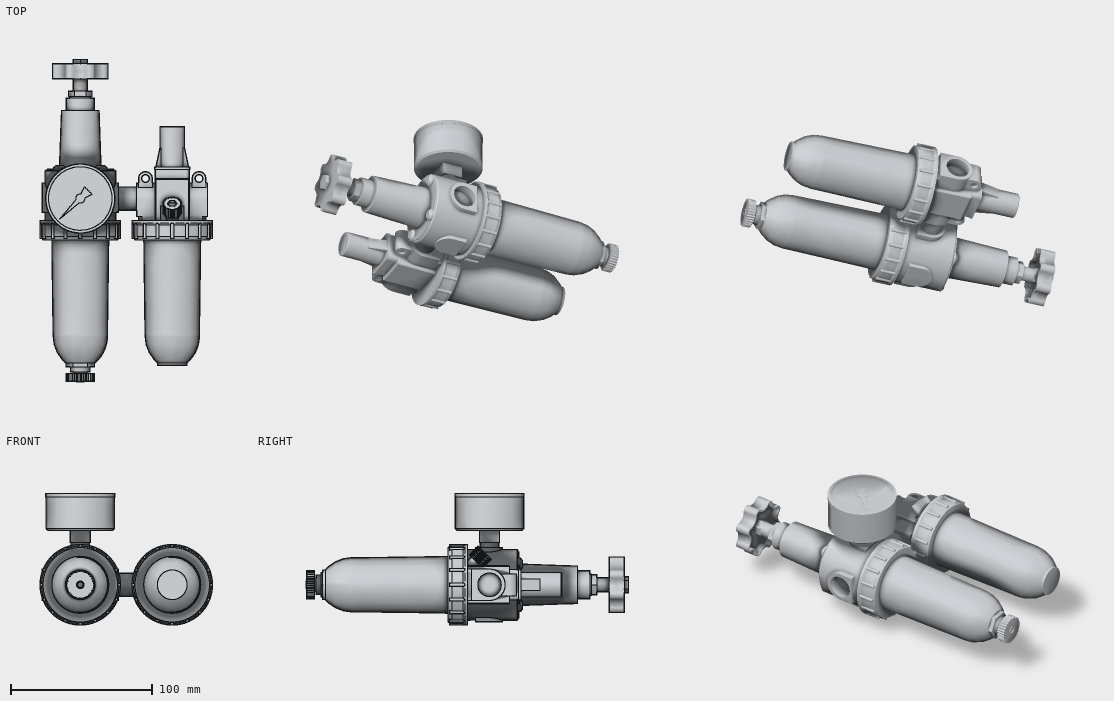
import cadquery as cq
import math

UNIT_SPACING = 65.0
PORT_BORE = 16.7
PORT_DEPTH = 8.0
PAD_WIDTH = 22.1

RING_TOP = -15.5
RING_BOTTOM = -29.5
RING_DIAMETER = 57.0
RING_CORE_DIAMETER = 54.8
RING_END_DIAMETER = 52.7
RING_LIP = 1.8
RING_TAPER_TOP = 1.4
RING_TAPER_BOTTOM = 2.7
RIB_COUNT = 16
RIB_RADIUS = (RING_DIAMETER - RING_CORE_DIAMETER) / 2
RIB_END_GAP = 1.1
BOWL_MOUTH_DIAMETER = 40.5
BOWL_END_DIAMETER = 38.5
BOWL_DOME_TOP = -97.0
BOWL_BOTTOM = -116.2
BOWL_TIP_DIAMETER = 21.0
PLAIN_TIP_BOTTOM = -118.0

HOUSING_DIAMETER = 50.2
HOUSING_TOP = 20.3
HOUSING_CHAMFER = 1.0
PAD_REACH_X = 27.0
PAD_REACH_Z = 26.2
PAD_BOTTOM = -9.8
GAUGE_PAD_WIDTH = 18.7
FLANGE_DIAMETER = 46.8
FLANGE_HEIGHT = 0.7
SCREW_DIAMETER = 9.0
SCREW_HEIGHT = 3.0
SCREW_EDGE_HEIGHT = 1.4
SCREW_CROWN_DIAMETER = 5.5
SCREW_OFFSET = 14.5
BONNET_BASE_DIAMETER = 29.7
BONNET_TOP_DIAMETER = 26.7
BONNET_TOP = 62.3
COLLAR_DIAMETER = 20.0
COLLAR_TOP = 71.0
WASHER_DIAMETER = 15.0
WASHER_TOP = 72.0
LOCKNUT_CORNERS = 16.7
LOCKNUT_TOP = 76.0
SPINDLE_DIAMETER = 10.0
SPINDLE_TOP = 98.4

WHEEL_TOP = 95.5
WHEEL_BOTTOM = 84.7
LOBE_COUNT = 8
LOBE_RADIUS = 3.5
LOBE_CENTRE_RADIUS = 17.5
VALLEY_CENTRE_RADIUS = 23.0
WHEEL_RIM = 1.1
WHEEL_RECESS = 4.5

GAUGE_TOP = 64.5
GAUGE_BOTTOM = 38.3
GAUGE_DIAMETER = 49.0
GAUGE_CASE_DIAMETER = 48.5
GAUGE_DIAL_DIAMETER = 45.0
BEZEL_HEIGHT = 2.5
DIAL_RECESS = 0.5
GAUGE_CHAMFER = 1.4
GAUGE_BLOCK_SIDE = 14.4
GAUGE_BLOCK_BOTTOM = 30.0
GAUGE_STEM_DIAMETER = 13.2
NEEDLE_HUB_RADIUS = 3.2
NEEDLE_TIP = 20.5
NEEDLE_ROOT_WIDTH = 3.7
NEEDLE_TAIL = 8.0
NEEDLE_TAIL_WIDTH = 7.5
NEEDLE_NECK_WIDTH = 2.3
NEEDLE_THICKNESS = 0.2
NEEDLE_ANGLE = 225

DRAIN_HEX_FLATS = 17.5
DRAIN_HEX_BOTTOM = -119.1
DRAIN_COLLAR_DIAMETER = 14.0
DRAIN_COLLAR_BOTTOM = -122.5
DRAIN_NECK_DIAMETER = 9.8
DRAIN_KNOB_TOP = -123.7
DRAIN_KNOB_BOTTOM = -129.5
DRAIN_KNOB_DIAMETER = 20.0
DRAIN_TUBE_DIAMETER = 5.2
DRAIN_TUBE_BORE = 4.0
DRAIN_TUBE_BOTTOM = SPINDLE_TOP - 228.2
DRAIN_BORE_DEPTH = 4.5
KNURL_DEPTH = 0.7
KNURL_TEETH = 32

PORT_BLOCK_REACH = 25.0
PORT_BLOCK_BOTTOM = -12.8
SHOULDER_DIAMETER = 48.0
CORE_WIDTH = 24.2
CORE_HALF_HEIGHT = 13.7
CORE_CHAMFER = 0.7
CAP_WIDTH = 24.2
CAP_HALF_HEIGHT = 10.7
CAP_BOTTOM = 14.1
CAP_TOP = 22.1
CAP_CORNER = 2.7
CAP_LIP = 0.5
CAP_LIP_THICKNESS = 1.5
TOWER_DIAMETER = 17.5
TOWER_TOP = 51.1
TOWER_CHAMFER = 0.5
GUSSET_TOP = 35.5
GUSSET_REACH = 11.6
GUSSET_THICKNESS = 8.2
LUG_OFFSET = 19.0
LUG_CENTRE_Y = 14.1
LUG_WIDTH = 9.8
LUG_BORE = 5.2
LUG_HALF_HEIGHT = 7.8
OIL_KNOB_DIAMETER = 13.2
OIL_KNOB_LENGTH = 8.7
OIL_KNOB_TILT = 45
OIL_KNOB_FACE_Y = -3.5
OIL_KNOB_FACE_Z = 22.5
OIL_STEM_DIAMETER = 9.1
OIL_STEM_LENGTH = 5.7
OIL_SOCKET_CORNERS = 6.6
OIL_SOCKET_DEPTH = 2.3
OIL_POCKET_WIDTH = 17.0
OIL_POCKET_TOP = -5.2
OIL_POCKET_DEPTH = 2.3

BOWL_MOUTH_RADIUS = BOWL_MOUTH_DIAMETER / 2
BOWL_END_RADIUS = BOWL_END_DIAMETER / 2
BOWL_TIP_RADIUS = BOWL_TIP_DIAMETER / 2


def polar(radius, degrees):
    angle = math.radians(degrees)
    return (radius * math.cos(angle), radius * math.sin(angle))


def rod(diameter, top, bottom, x=0, z=0):
    """Cylinder along Y."""
    return cq.Workplane("XZ", origin=(x, top, z)).circle(diameter / 2).extrude(top - bottom)


def hexagon(corners, top, bottom, turn=0):
    """Hexagonal prism on the regulator axis, with corners along X unless turned."""
    prism = cq.Workplane("XZ", origin=(0, top, 0)).polygon(6, corners).extrude(top - bottom)
    return prism.rotate((0, 0, 0), (0, 1, 0), turn)


def turned(outline, x=0):
    """Body of revolution about Y from (radius, y) points."""
    return cq.Workplane("XY").polyline(outline).close().revolve(360, (0, 0), (0, 1)).translate((x, 0, 0))


def knurled(plane, diameter, length):
    """Cylinder with pointed teeth, extruded along the normal of the plane."""
    points = []
    for tooth in range(KNURL_TEETH):
        angle = 360 / KNURL_TEETH * tooth
        points.append(polar(diameter / 2, angle))
        points.append(polar(diameter / 2 - KNURL_DEPTH, angle + 180 / KNURL_TEETH))
    return cq.Workplane(plane).polyline(points).close().extrude(length)


def ring_nut(x):
    """Ring nut with a lip at its top and grip ribs around it."""
    lip_radius = RING_DIAMETER / 2
    core_radius = RING_CORE_DIAMETER / 2
    lip_bottom = RING_TOP - RING_LIP
    ring = turned(
        [
            (0, RING_TOP),
            (lip_radius, RING_TOP),
            (lip_radius, lip_bottom),
            (core_radius, lip_bottom - RING_TAPER_TOP),
            (core_radius, RING_BOTTOM + RING_TAPER_BOTTOM),
            (RING_END_DIAMETER / 2, RING_BOTTOM),
            (0, RING_BOTTOM),
        ],
        x,
    )
    for rib in range(RIB_COUNT):
        dx, dz = polar(core_radius, 360 / RIB_COUNT * rib)
        ring = ring.union(rod(2 * RIB_RADIUS, lip_bottom, RING_BOTTOM + RIB_END_GAP, x + dx, dz))
    return ring


def bowl(x):
    """Slightly tapered bowl whose dome is an arc tangent to the Y direction."""
    depth = BOWL_DOME_TOP - BOWL_BOTTOM
    inset = BOWL_END_RADIUS - BOWL_TIP_RADIUS
    dome_radius = (depth**2 + inset**2) / (2 * inset)
    half_sweep = math.asin(depth / dome_radius) / 2
    dome_middle = (
        BOWL_END_RADIUS - dome_radius * (1 - math.cos(half_sweep)),
        BOWL_DOME_TOP - dome_radius * math.sin(half_sweep),
    )
    profile = (
        cq.Workplane("XY")
        .moveTo(0, RING_BOTTOM)
        .lineTo(BOWL_MOUTH_RADIUS, RING_BOTTOM)
        .lineTo(BOWL_END_RADIUS, BOWL_DOME_TOP)
        .threePointArc(dome_middle, (BOWL_TIP_RADIUS, BOWL_BOTTOM))
        .lineTo(0, BOWL_BOTTOM)
        .close()
    )
    return profile.revolve(360, (0, 0), (0, 1)).translate((x, 0, 0))


def port_pad(reach, width, bottom):
    """Pad along X through the origin, rounded towards +Y and flat towards -Y."""
    half = width / 2
    outline = (
        cq.Workplane("YZ", origin=(-reach, 0, 0))
        .moveTo(bottom, -half)
        .lineTo(0, -half)
        .threePointArc((half, 0), (0, half))
        .lineTo(bottom, half)
        .close()
    )
    return outline.extrude(2 * reach)


def port_bores(reach, x=0):
    """Blind bores entering from both ends of the port axis."""
    left = cq.Workplane("YZ", origin=(x - reach, 0, 0)).circle(PORT_BORE / 2).extrude(PORT_DEPTH)
    right = cq.Workplane("YZ", origin=(x + reach, 0, 0)).circle(PORT_BORE / 2).extrude(-PORT_DEPTH)
    return left.union(right)


def cover_screw(x, z):
    """Button head of a bonnet screw."""
    radius = SCREW_DIAMETER / 2
    seat = HOUSING_TOP
    head = turned(
        [
            (0, seat),
            (radius, seat),
            (radius, seat + SCREW_EDGE_HEIGHT),
            (SCREW_CROWN_DIAMETER / 2, seat + SCREW_HEIGHT),
            (0, seat + SCREW_HEIGHT),
        ]
    )
    return head.translate((x, 0, z))


def make_regulator():
    housing = rod(HOUSING_DIAMETER, HOUSING_TOP, RING_TOP).faces(">Y").chamfer(HOUSING_CHAMFER)
    housing = housing.union(port_pad(PAD_REACH_X, PAD_WIDTH, PAD_BOTTOM))
    housing = housing.union(port_pad(PAD_REACH_Z, GAUGE_PAD_WIDTH, PAD_BOTTOM).rotate((0, 0, 0), (0, 1, 0), 90))
    housing = housing.cut(port_bores(PAD_REACH_X))

    flange_top = HOUSING_TOP + FLANGE_HEIGHT
    bonnet = turned(
        [
            (0, HOUSING_TOP),
            (FLANGE_DIAMETER / 2, HOUSING_TOP),
            (FLANGE_DIAMETER / 2, flange_top),
            (BONNET_BASE_DIAMETER / 2, flange_top),
            (BONNET_TOP_DIAMETER / 2, BONNET_TOP),
            (COLLAR_DIAMETER / 2, BONNET_TOP),
            (COLLAR_DIAMETER / 2, COLLAR_TOP),
            (0, COLLAR_TOP),
        ]
    )
    regulator = housing.union(bonnet)
    for x in (-SCREW_OFFSET, SCREW_OFFSET):
        for z in (-SCREW_OFFSET, SCREW_OFFSET):
            regulator = regulator.union(cover_screw(x, z))

    regulator = regulator.union(rod(WASHER_DIAMETER, WASHER_TOP, COLLAR_TOP))
    regulator = regulator.union(hexagon(LOCKNUT_CORNERS, LOCKNUT_TOP, WASHER_TOP))
    regulator = regulator.union(rod(SPINDLE_DIAMETER, WHEEL_BOTTOM, LOCKNUT_TOP))
    regulator = regulator.union(spindle_head())
    return regulator.union(ring_nut(0)).union(bowl(0))


def spindle_head():
    """Hexagonal spindle end that carries the handwheel, with corners along Z."""
    return hexagon(SPINDLE_DIAMETER / math.cos(math.pi / 6), SPINDLE_TOP, WHEEL_BOTTOM, turn=90)


def lobed_disc(inset, thickness):
    """Disc on the wheel underside, with convex lobes and concave valleys that run smoothly into each other."""
    pitch = 360 / LOBE_COUNT
    lobe_radius = LOBE_RADIUS - inset
    lobe_tip = LOBE_CENTRE_RADIUS + lobe_radius
    lobe_x, lobe_y = polar(LOBE_CENTRE_RADIUS, pitch / 2)
    centre_distance = math.hypot(VALLEY_CENTRE_RADIUS - lobe_x, lobe_y)
    valley_floor = VALLEY_CENTRE_RADIUS - (centre_distance - lobe_radius)

    joint_share = lobe_radius / centre_distance
    joint_x = lobe_x + joint_share * (VALLEY_CENTRE_RADIUS - lobe_x)
    joint_y = lobe_y * (1 - joint_share)
    joint_radius = math.hypot(joint_x, joint_y)
    joint_angle = math.degrees(math.atan2(joint_y, joint_x))

    outline = cq.Workplane("XZ", origin=(0, WHEEL_BOTTOM, 0)).moveTo(*polar(joint_radius, -joint_angle))
    for lobe in range(LOBE_COUNT):
        angle = pitch * lobe
        valley_end = polar(joint_radius, angle + joint_angle)
        lobe_end = polar(joint_radius, angle + pitch - joint_angle)
        outline = outline.threePointArc(polar(valley_floor, angle), valley_end)
        outline = outline.threePointArc(polar(lobe_tip, angle + pitch / 2), lobe_end)
    return outline.close().extrude(-thickness)


def make_handwheel():
    """Lobed wheel, hollowed from below and pierced by the spindle head."""
    wheel = lobed_disc(0, WHEEL_TOP - WHEEL_BOTTOM)
    return wheel.cut(lobed_disc(WHEEL_RIM, WHEEL_RECESS)).cut(spindle_head())


def gauge_needle():
    """Raised pointer: a tapered tip, a round hub and a flared tail."""
    dial = GAUGE_TOP - DIAL_RECESS
    plane = cq.Workplane("XY", origin=(0, 0, dial))
    hub = plane.circle(NEEDLE_HUB_RADIUS).extrude(NEEDLE_THICKNESS)
    pointer = plane.polyline([(0, -NEEDLE_ROOT_WIDTH / 2), (NEEDLE_TIP, 0), (0, NEEDLE_ROOT_WIDTH / 2)])
    pointer = pointer.close().extrude(NEEDLE_THICKNESS)
    tail = plane.polyline(
        [
            (0, -NEEDLE_NECK_WIDTH / 2),
            (0, NEEDLE_NECK_WIDTH / 2),
            (-NEEDLE_TAIL, NEEDLE_TAIL_WIDTH / 2),
            (-NEEDLE_TAIL, -NEEDLE_TAIL_WIDTH / 2),
        ]
    )
    tail = tail.close().extrude(NEEDLE_THICKNESS)
    needle = hub.union(pointer).union(tail)
    return needle.rotate((0, 0, 0), (0, 0, 1), NEEDLE_ANGLE)


def make_gauge():
    bezel_bottom = GAUGE_TOP - BEZEL_HEIGHT
    case = cq.Workplane("XY", origin=(0, 0, GAUGE_BOTTOM)).circle(GAUGE_CASE_DIAMETER / 2)
    case = case.extrude(bezel_bottom - GAUGE_BOTTOM).faces("<Z").chamfer(GAUGE_CHAMFER)
    bezel = cq.Workplane("XY", origin=(0, 0, bezel_bottom)).circle(GAUGE_DIAMETER / 2).extrude(BEZEL_HEIGHT)
    recess = cq.Workplane("XY", origin=(0, 0, GAUGE_TOP)).circle(GAUGE_DIAL_DIAMETER / 2).extrude(-DIAL_RECESS)
    block = cq.Workplane("XY", origin=(0, 0, GAUGE_BLOCK_BOTTOM)).rect(GAUGE_BLOCK_SIDE, GAUGE_BLOCK_SIDE)
    block = block.extrude(GAUGE_BOTTOM - GAUGE_BLOCK_BOTTOM)
    stem = cq.Workplane("XY", origin=(0, 0, PAD_REACH_Z)).circle(GAUGE_STEM_DIAMETER / 2)
    stem = stem.extrude(GAUGE_BLOCK_BOTTOM - PAD_REACH_Z)
    return case.union(bezel).cut(recess).union(block).union(stem).union(gauge_needle())


def make_drain_valve():
    """Hexagon, collar and knurled knob below the regulator bowl, with a drain tube in the knob."""
    valve = hexagon(DRAIN_HEX_FLATS / math.cos(math.pi / 6), BOWL_BOTTOM, DRAIN_HEX_BOTTOM)
    valve = valve.union(rod(DRAIN_COLLAR_DIAMETER, DRAIN_HEX_BOTTOM, DRAIN_COLLAR_BOTTOM))
    valve = valve.union(rod(DRAIN_NECK_DIAMETER, DRAIN_COLLAR_BOTTOM, DRAIN_KNOB_TOP))
    knob_plane = cq.Plane((0, DRAIN_KNOB_TOP, 0), xDir=(1, 0, 0), normal=(0, -1, 0))
    valve = valve.union(knurled(knob_plane, DRAIN_KNOB_DIAMETER, DRAIN_KNOB_TOP - DRAIN_KNOB_BOTTOM))
    valve = valve.union(rod(DRAIN_TUBE_DIAMETER, DRAIN_KNOB_BOTTOM, DRAIN_TUBE_BOTTOM))
    return valve.cut(rod(DRAIN_TUBE_BORE, DRAIN_TUBE_BOTTOM + DRAIN_BORE_DEPTH, DRAIN_TUBE_BOTTOM))


def make_nipple():
    """Pipe between the units, seated on the floors of the facing port bores."""
    start = PAD_REACH_X - PORT_DEPTH
    end = UNIT_SPACING - PORT_BLOCK_REACH + PORT_DEPTH
    return cq.Workplane("YZ", origin=(start, 0, 0)).circle(PORT_BORE / 2).extrude(end - start)


def block_along_y(width, height, top, bottom):
    return cq.Workplane("XZ", origin=(0, top, 0)).rect(width, height).extrude(top - bottom)


def mounting_lug(x):
    """Rounded lug with a bore along Z."""
    plane = cq.Workplane("XY", origin=(x, 0, -LUG_HALF_HEIGHT))
    height = 2 * LUG_HALF_HEIGHT
    plate = plane.center(0, LUG_CENTRE_Y / 2).rect(LUG_WIDTH, LUG_CENTRE_Y).extrude(height)
    eye = plane.center(0, LUG_CENTRE_Y).circle(LUG_WIDTH / 2).extrude(height)
    bore = plane.center(0, LUG_CENTRE_Y).circle(LUG_BORE / 2).extrude(height)
    return plate.union(eye).cut(bore)


def shoulder():
    """Round foot of the port block, as thick in Z as the block."""
    foot = rod(SHOULDER_DIAMETER, PORT_BLOCK_BOTTOM, RING_TOP)
    return foot.intersect(block_along_y(SHOULDER_DIAMETER, PAD_WIDTH, PORT_BLOCK_BOTTOM, RING_TOP))


def cap():
    """Cap with rounded corners and a lip around its top."""
    plate = block_along_y(CAP_WIDTH, 2 * CAP_HALF_HEIGHT, CAP_TOP, CAP_BOTTOM).edges("|Y").fillet(CAP_CORNER)
    lip = block_along_y(
        CAP_WIDTH + 2 * CAP_LIP, 2 * (CAP_HALF_HEIGHT + CAP_LIP), CAP_TOP, CAP_TOP - CAP_LIP_THICKNESS
    )
    return plate.union(lip.edges("|Y").fillet(CAP_CORNER + CAP_LIP))


def tower():
    """Round tower on the cap, stiffened by a triangular gusset on each side."""
    column = rod(TOWER_DIAMETER, TOWER_TOP, CAP_TOP).faces(">Y").chamfer(TOWER_CHAMFER)
    tower_radius = TOWER_DIAMETER / 2
    gusset = cq.Workplane("XY").polyline(
        [
            (-GUSSET_REACH, CAP_TOP),
            (-tower_radius, GUSSET_TOP),
            (tower_radius, GUSSET_TOP),
            (GUSSET_REACH, CAP_TOP),
        ]
    )
    return column.union(gusset.close().extrude(GUSSET_THICKNESS / 2, both=True))


def oil_knob():
    """Knurled oil-feed knob tilted from +Z towards +Y, with a hexagonal socket in its face."""
    tilt = math.radians(OIL_KNOB_TILT)
    axis = cq.Vector(0, math.sin(tilt), math.cos(tilt))
    face = cq.Vector(0, OIL_KNOB_FACE_Y, OIL_KNOB_FACE_Z)
    plane = cq.Plane(face, xDir=(1, 0, 0), normal=axis)
    knob = knurled(plane, OIL_KNOB_DIAMETER, -OIL_KNOB_LENGTH)
    socket = cq.Workplane(plane).polygon(6, OIL_SOCKET_CORNERS).extrude(-OIL_SOCKET_DEPTH)
    stem = cq.Workplane(plane).circle(OIL_STEM_DIAMETER / 2).extrude(-OIL_KNOB_LENGTH - OIL_STEM_LENGTH)
    return knob.union(stem).cut(socket)


def make_lubricator():
    body = block_along_y(CORE_WIDTH, 2 * CORE_HALF_HEIGHT, CAP_BOTTOM, RING_TOP)
    body = body.faces("<Z or >Z").edges("|Y or >Y").chamfer(CORE_CHAMFER)
    body = body.union(port_pad(PORT_BLOCK_REACH, PAD_WIDTH, PORT_BLOCK_BOTTOM))
    body = body.union(shoulder()).union(cap()).union(tower())
    for x in (-LUG_OFFSET, LUG_OFFSET):
        body = body.union(mounting_lug(x))
    body = body.cut(port_bores(PORT_BLOCK_REACH))

    pocket = block_along_y(OIL_POCKET_WIDTH, 2 * OIL_POCKET_DEPTH, OIL_POCKET_TOP, RING_TOP)
    body = body.cut(pocket.translate((0, 0, CORE_HALF_HEIGHT))).union(oil_knob())
    body = body.translate((UNIT_SPACING, 0, 0)).union(ring_nut(UNIT_SPACING)).union(bowl(UNIT_SPACING))
    return body.union(rod(BOWL_TIP_DIAMETER, BOWL_BOTTOM, PLAIN_TIP_BOTTOM, UNIT_SPACING))


regulator = make_regulator()
handwheel = make_handwheel()
gauge = make_gauge()
drain_valve = make_drain_valve()
nipple = make_nipple()
lubricator = make_lubricator()

result = cq.Compound.makeCompound(
    [regulator.val(), handwheel.val(), gauge.val(), drain_valve.val(), nipple.val(), lubricator.val()]
)